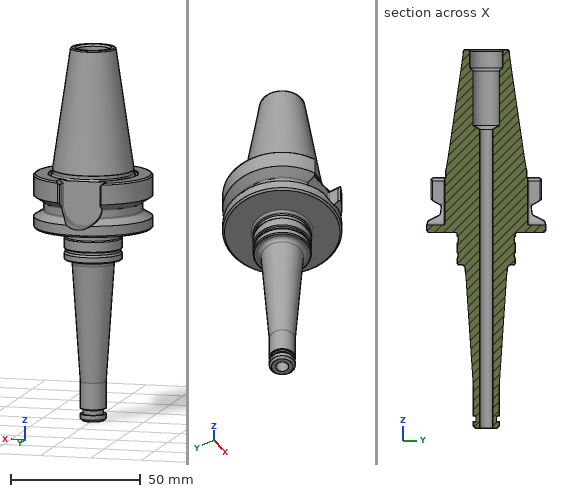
import cadquery as cq
import math

length = 145.9

flange_radius = 46.0 / 2
flange_top = 96.6
flange_bottom = 75.5
flange_top_chamfer = 0.6
flange_bottom_chamfer = 0.7
groove_radius = 19.1
groove_upper_edge = 88.3
groove_upper_root = 85.8
groove_lower_root = 82.3
groove_lower_edge = 80.0
groove_root_fillet = 0.5

taper_ratio = 7 / 24
taper_base = 98.3
taper_base_radius = 15.8
taper_top_radius = taper_base_radius - (length - taper_base) * taper_ratio / 2
taper_top_chamfer = 0.5
foot_radius = 31.2 / 2
foot_chamfer = taper_base_radius - foot_radius
foot_recess_radius = 17.4
foot_recess_depth = 0.5
foot_fillet = 0.7

body_radius = 22.5 / 2
body_bottom = 63.0
body_chamfer = 0.5
body_fillet = 0.7
ring_depth = 0.5
ring_radius = body_radius - ring_depth
upper_ring_top = 73.5
upper_ring_bottom = 72.0
lower_ring_top = 67.3
lower_ring_bottom = 66.4
lower_ring_lead = 0.9

neck_radius = 8.2
neck_top = 61.4
neck_fillet = body_bottom - neck_top
tip_radius = 10.0 / 2
tip_top = 15.3
tip_groove_radius = 8.0 / 2
tip_groove_top = 4.8
tip_groove_bottom = 2.6
tip_groove_chamfer = 0.5
tip_chamfer = 0.9

slot_half_width = 8.0
slot_arc_height = 86.4
slot_floor = 16.0
slot_fillet = 0.5
slot_top_chamfer = 1.3
slot_side_chamfer = 0.65

through_radius = 5.0 / 2
thread_radius = 10.0 / 2
thread_depth = 29.2
drill_point_angle = 118
pilot_radius = 12.5 / 2
pilot_depth = 7.0
pilot_chamfer = 0.7


def make_turned_body():
    """Revolve the outer half profile, from the nose tip up to the small end of the taper."""
    recess_floor = flange_top - foot_recess_depth
    arc_shift = 1 - math.sqrt(0.5)
    profile = (
        cq.Workplane("XZ")
        .lineTo(tip_radius - tip_chamfer, 0)
        .lineTo(tip_radius, tip_chamfer)
        .lineTo(tip_radius, tip_groove_bottom)
        .lineTo(tip_groove_radius, tip_groove_bottom)
        .lineTo(tip_groove_radius, tip_groove_top - tip_groove_chamfer)
        .lineTo(tip_groove_radius + tip_groove_chamfer, tip_groove_top)
        .lineTo(tip_radius, tip_groove_top)
        .lineTo(tip_radius, tip_top)
        .lineTo(neck_radius, neck_top)
        .threePointArc(
            (neck_radius + neck_fillet * arc_shift, body_bottom - neck_fillet * arc_shift),
            (neck_radius + neck_fillet, body_bottom),
        )
        .lineTo(body_radius - body_chamfer, body_bottom)
        .lineTo(body_radius, body_bottom + body_chamfer)
        .lineTo(body_radius, lower_ring_bottom - lower_ring_lead)
        .lineTo(ring_radius, lower_ring_bottom)
        .lineTo(ring_radius, lower_ring_top)
        .lineTo(body_radius, lower_ring_top + ring_depth)
        .lineTo(body_radius, upper_ring_bottom - ring_depth)
        .lineTo(ring_radius, upper_ring_bottom)
        .lineTo(ring_radius, upper_ring_top)
        .lineTo(body_radius, upper_ring_top + ring_depth)
        .lineTo(body_radius, flange_bottom - body_fillet)
        .threePointArc(
            (body_radius + body_fillet * arc_shift, flange_bottom - body_fillet * arc_shift),
            (body_radius + body_fillet, flange_bottom),
        )
        .lineTo(flange_radius - flange_bottom_chamfer, flange_bottom)
        .lineTo(flange_radius, flange_bottom + flange_bottom_chamfer)
        .lineTo(flange_radius, groove_lower_edge)
        .lineTo(groove_radius, groove_lower_root)
        .lineTo(groove_radius, groove_upper_root)
        .lineTo(flange_radius, groove_upper_edge)
        .lineTo(flange_radius, flange_top - flange_top_chamfer)
        .lineTo(flange_radius - flange_top_chamfer, flange_top)
        .lineTo(foot_recess_radius, flange_top)
        .lineTo(foot_recess_radius, recess_floor)
        .lineTo(foot_radius + foot_fillet, recess_floor)
        .threePointArc(
            (foot_radius + foot_fillet * arc_shift, recess_floor + foot_fillet * arc_shift),
            (foot_radius, recess_floor + foot_fillet),
        )
        .lineTo(foot_radius, taper_base - foot_chamfer)
        .lineTo(taper_base_radius, taper_base)
        .lineTo(taper_top_radius, length - taper_top_chamfer)
        .lineTo(taper_top_radius - taper_top_chamfer, length)
        .lineTo(0, length)
        .close()
    )
    body = profile.revolve(360, (0, 0, 0), (0, 1, 0))
    groove_roots = cq.selectors.BoxSelector(
        (-flange_radius, -flange_radius, groove_lower_edge + groove_root_fillet),
        (flange_radius, flange_radius, groove_upper_edge - groove_root_fillet),
    )
    return body.edges("%CIRCLE").edges(groove_roots).fillet(groove_root_fillet)


def make_bore():
    """Revolve the stepped bore: pilot, thread core with drill point, and through hole."""
    pilot_floor = length - pilot_depth
    thread_floor = length - thread_depth
    point_depth = (thread_radius - through_radius) / math.tan(math.radians(drill_point_angle / 2))
    profile = (
        cq.Workplane("XZ")
        .lineTo(through_radius, 0)
        .lineTo(through_radius, thread_floor - point_depth)
        .lineTo(thread_radius, thread_floor)
        .lineTo(thread_radius, pilot_floor - (pilot_radius - thread_radius))
        .lineTo(pilot_radius, pilot_floor)
        .lineTo(pilot_radius, length - pilot_chamfer)
        .lineTo(pilot_radius + pilot_chamfer, length)
        .lineTo(0, length)
        .close()
    )
    return profile.revolve(360, (0, 0, 0), (0, 1, 0))


def make_slot():
    """Drive slot cutter on the -Y side: U shape with a rounded floor edge and flared upper edges."""
    depth = flange_radius - slot_floor
    slot = (
        cq.Workplane("XZ", origin=(0, -slot_floor, 0))
        .moveTo(-slot_half_width, flange_top)
        .lineTo(-slot_half_width, slot_arc_height)
        .threePointArc((0, slot_arc_height - slot_half_width), (slot_half_width, slot_arc_height))
        .lineTo(slot_half_width, flange_top)
        .close()
        .extrude(depth)
    )
    slot = slot.faces(">Y").edges("not >Z").fillet(slot_fillet)
    top_flare = (
        cq.Workplane("XZ", origin=(0, -slot_floor, 0))
        .moveTo(-slot_half_width, flange_top - slot_top_chamfer)
        .lineTo(-slot_half_width - slot_top_chamfer, flange_top)
        .lineTo(slot_half_width + slot_top_chamfer, flange_top)
        .lineTo(slot_half_width, flange_top - slot_top_chamfer)
        .close()
        .extrude(depth)
    )
    rim_y = math.sqrt(flange_radius**2 - (slot_half_width + slot_side_chamfer) ** 2)
    flare_start = rim_y - slot_side_chamfer
    flare_run = flange_radius - flare_start
    side_flare = (
        cq.Workplane("XY", origin=(0, 0, slot_arc_height))
        .moveTo(-slot_half_width, -flare_start)
        .lineTo(-slot_half_width - flare_run, -flange_radius)
        .lineTo(slot_half_width + flare_run, -flange_radius)
        .lineTo(slot_half_width, -flare_start)
        .close()
        .extrude(flange_top - slot_arc_height)
    )
    return slot.union(top_flare).union(side_flare)


slot = make_slot()
result = make_turned_body().cut(make_bore())
for angle in (0, 180):
    result = result.cut(slot.rotate((0, 0, 0), (0, 0, 1), angle))